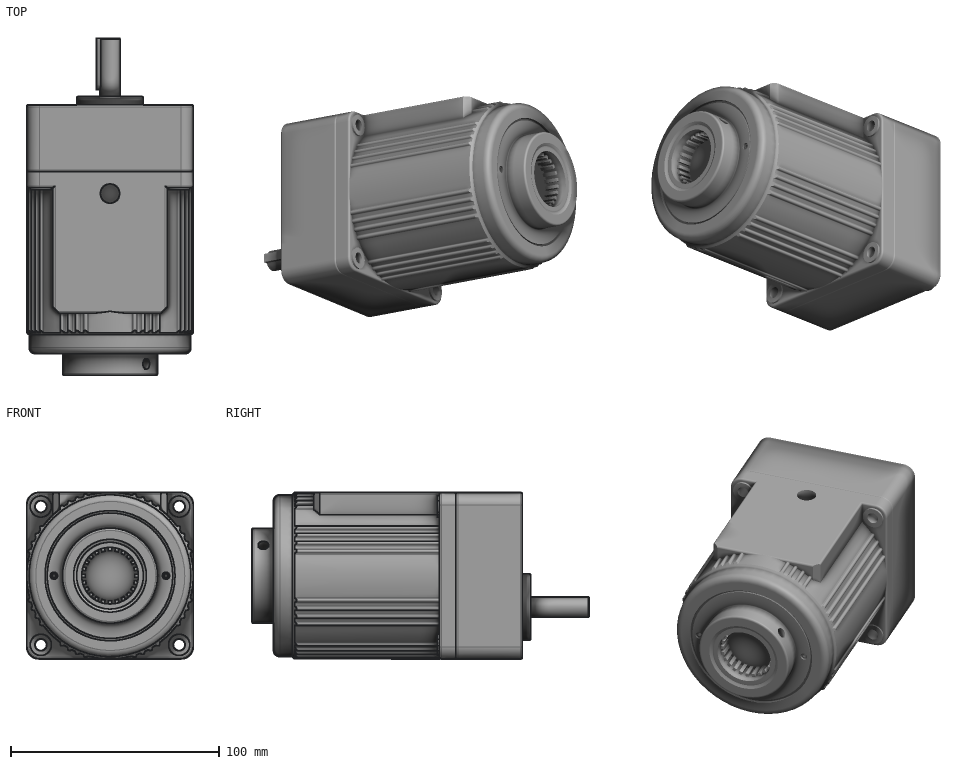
import cadquery as cq
import math


frame_size = 80.0
frame_corner_radius = 6.0
edge_fillet = 1.0
bolt_offset = 33.2
bolt_hole_diameter = 5.5

gearhead_length = 32.0
pilot_diameter = 32.0
pilot_height = 4.0
shaft_drop = 15.0
shaft_diameter = 9.9
shaft_length = 32.0
shaft_chamfer = 0.5
shaft_end = gearhead_length + shaft_length

key_width = 4.0
key_height = 4.0
key_length = 25.0
key_protrusion = 1.6

flange_length = 7.8
bolt_pad_diameter = 10.2
bolt_pad_height = 1.0
body_radius = frame_size / 2
body_length = 78.4
rib_radius = 1.0
rib_root_fillet = 0.5
rib_first_angle = 17
rib_pitch_angle = 6
ribs_per_group = 4
cover_radius = 38.9
cover_length = 9.0
cover_fillet = 3.0
cover_end = body_length + cover_length

block_width = 54.8
block_end = 68
block_corner_chamfer = 2.9
cable_hole_diameter = 9.2
cable_hole_depth = 9.7
cable_hole_distance = 10.5

recess_radius = 31.3
recess_depth = 1.5
recess_floor = recess_depth - cover_end

disc_radius = 30.1
disc_thickness = 1.0
hub_radius = 22.8
hub_protrusion = 10.4
hub_foot_fillet = 0.5
hub_rear = -cover_end - hub_protrusion
screw_hole_offset = 26.9
screw_hole_diameter = 3.4
screw_thread_diameter = 2.0
screw_thread_depth = 2.9
mouth_radius = 17.5
mouth_depth = 0.8
mouth_inner_radius = 16.0
spline_outer_radius = 13.6
spline_inner_radius = 12.0
spline_teeth = 24
spline_tooth_width = 1.6
spline_setback = 3.9
set_screw_diameter = 5.0
set_screw_angle = 40
set_screw_inset = 5.5


def bar_along_y(sketch, y_start, y_end):
    """Bar whose XZ outline is drawn by the sketch function, from y_start down to y_end."""
    return sketch(cq.Workplane("XZ", origin=(0, y_start, 0))).extrude(y_start - y_end)


def cylinder(radius, y_start, y_end, x=0, z=0):
    return bar_along_y(lambda plane: plane.center(x, z).circle(radius), y_start, y_end)


def frame_block(y_start, y_end):
    """Square block with rounded corners, centred on the motor axis."""
    block = bar_along_y(lambda plane: plane.rect(frame_size, frame_size), y_start, y_end)
    return block.edges("|Y").fillet(frame_corner_radius)


def at_bolts(radius, y_start, y_end):
    """Four cylinders on the bolt pattern."""
    span = 2 * bolt_offset
    return bar_along_y(lambda plane: plane.rect(span, span, forConstruction=True).vertices().circle(radius),
                       y_start, y_end)


def make_key():
    """Key flush with the shaft end, with a rounded inner end, standing out of the -X side."""
    outer_x = -(shaft_diameter / 2 + key_protrusion)
    half_width = key_width / 2
    round_center = shaft_end - key_length + half_width
    return (
        cq.Workplane("YZ", origin=(outer_x, 0, -shaft_drop))
        .moveTo(shaft_end, half_width)
        .lineTo(round_center, half_width)
        .threePointArc((shaft_end - key_length, 0), (round_center, -half_width))
        .lineTo(shaft_end, -half_width)
        .close()
        .extrude(key_height)
    )


def make_gearhead(key):
    case = frame_block(gearhead_length, 0).faces("<Y or >Y").edges().fillet(edge_fillet)
    case = case.cut(at_bolts(bolt_hole_diameter / 2, gearhead_length, 0))
    pilot = cylinder(pilot_diameter / 2, gearhead_length + pilot_height, gearhead_length, z=-shaft_drop)
    pilot = pilot.faces(">Y").edges().fillet(edge_fillet)
    shaft = cylinder(shaft_diameter / 2, shaft_end, gearhead_length, z=-shaft_drop)
    shaft = shaft.faces(">Y").chamfer(shaft_chamfer)
    return case.union(pilot).union(shaft).cut(key)


def polar_point(radius, angle):
    return radius * math.cos(angle), radius * math.sin(angle)


def rib_angles():
    """Two mirrored groups of ribs in each quadrant, in order around the body, in radians."""
    rising = [rib_first_angle + index * rib_pitch_angle for index in range(ribs_per_group)]
    quadrant_angles = rising + [90 - angle for angle in reversed(rising)]
    return [math.radians(90 * quadrant + angle) for quadrant in range(4) for angle in quadrant_angles]


def ribbed_outline(plane):
    """Circle carrying half-round ribs, each blended into it by a root fillet on both sides."""
    fillet_distance = body_radius + rib_root_fillet
    rib_to_fillet = rib_radius + rib_root_fillet
    cosine = (body_radius**2 + fillet_distance**2 - rib_to_fillet**2) / (2 * body_radius * fillet_distance)
    root_angle = math.acos(cosine)

    def root_points(angle, side):
        """Body end, middle and rib end of one root fillet; side is -1 before the rib, +1 after it."""
        direction = angle + side * root_angle
        rib_x, rib_z = polar_point(body_radius, angle)
        center_x, center_z = polar_point(fillet_distance, direction)
        body_end = polar_point(body_radius, direction)
        share = rib_radius / rib_to_fillet
        rib_end = (rib_x + (center_x - rib_x) * share, rib_z + (center_z - rib_z) * share)
        toward_x = (body_end[0] + rib_end[0]) / 2 - center_x
        toward_z = (body_end[1] + rib_end[1]) / 2 - center_z
        scale = rib_root_fillet / math.hypot(toward_x, toward_z)
        middle = (center_x + toward_x * scale, center_z + toward_z * scale)
        return body_end, middle, rib_end

    angles = rib_angles()
    start = root_points(angles[0], -1)[0]
    outline = plane.moveTo(*start)
    for angle, next_angle in zip(angles, angles[1:] + [angles[0] + 2 * math.pi]):
        _, near_middle, near_rib_end = root_points(angle, -1)
        body_end, far_middle, far_rib_end = root_points(angle, 1)
        next_body_end = root_points(next_angle, -1)[0]
        outline = outline.threePointArc(near_middle, near_rib_end)
        outline = outline.threePointArc(polar_point(body_radius + rib_radius, angle), far_rib_end)
        outline = outline.threePointArc(far_middle, body_end)
        outline = outline.threePointArc(polar_point(body_radius, (angle + next_angle) / 2), next_body_end)
    return outline.close()


def ribbed_body():
    """Round motor body with cooling ribs and a rear end bevelled at 45 degrees down to the cover."""
    body = bar_along_y(ribbed_outline, -flange_length, -body_length)
    bevel_start_radius = cover_radius + body_length - flange_length
    bevel = (
        cq.Workplane("XY")
        .moveTo(0, -flange_length)
        .lineTo(bevel_start_radius, -flange_length)
        .lineTo(cover_radius, -body_length)
        .lineTo(0, -body_length)
        .close()
        .revolve(360, (0, 0, 0), (0, 1, 0))
    )
    return body.intersect(bevel)


def terminal_block():
    """Flat-topped block, flush with the flange, with rounded top edges and bevelled rear corners."""
    height = frame_size / 2
    block = cq.Workplane("XY").center(0, -block_end / 2).rect(block_width, block_end).extrude(height)
    block = block.faces(">Z").edges("not >Y").fillet(edge_fillet)
    bevelled = (
        cq.Workplane("XY")
        .center(0, -block_end / 2)
        .rect(block_width, block_end)
        .extrude(height)
        .edges("|Z and <Y")
        .chamfer(block_corner_chamfer)
    )
    return block.intersect(bevelled)


def at_hub_screws(diameter, y_start, y_end):
    """Two cylinders on the hub screw positions."""
    positions = [(-screw_hole_offset, 0), (screw_hole_offset, 0)]
    return bar_along_y(lambda plane: plane.pushPoints(positions).circle(diameter / 2), y_start, y_end)


def make_motor():
    flange = frame_block(0, -flange_length).faces("<Y").edges().fillet(edge_fillet)
    bolt_pads = at_bolts(bolt_pad_diameter / 2, 0, -flange_length - bolt_pad_height)
    cover = cylinder(cover_radius, -body_length, -cover_end).faces("<Y").edges().fillet(cover_fillet)
    motor = flange.union(bolt_pads).union(ribbed_body()).union(terminal_block()).union(cover)

    bolt_holes = at_bolts(bolt_hole_diameter / 2, 0, -flange_length - bolt_pad_height)
    cable_hole = (
        cq.Workplane("XY", origin=(0, -cable_hole_distance, frame_size / 2))
        .circle(cable_hole_diameter / 2)
        .extrude(-cable_hole_depth)
    )
    hub_recess = cylinder(recess_radius, recess_floor, -cover_end)
    screw_threads = at_hub_screws(screw_thread_diameter, recess_floor + screw_thread_depth, recess_floor)
    return motor.cut(bolt_holes).cut(cable_hole).cut(hub_recess).cut(screw_threads)


def make_hub():
    """Hub on a disc seated in the cover recess, with an internal spline and a radial set-screw hole."""
    disc_face = recess_floor - disc_thickness
    disc = cylinder(disc_radius, recess_floor, disc_face)
    barrel = cylinder(hub_radius, disc_face, hub_rear).faces("<Y").edges().fillet(edge_fillet)
    foot = (
        cq.Workplane("XY")
        .moveTo(0, disc_face)
        .lineTo(hub_radius + hub_foot_fillet, disc_face)
        .radiusArc((hub_radius, disc_face - hub_foot_fillet), -hub_foot_fillet)
        .lineTo(0, disc_face - hub_foot_fillet)
        .close()
        .revolve(360, (0, 0, 0), (0, 1, 0))
    )
    hub = disc.union(barrel).union(foot)
    hub = hub.cut(at_hub_screws(screw_hole_diameter, recess_floor, disc_face))

    mouth = (
        cq.Workplane("XY")
        .moveTo(0, hub_rear)
        .lineTo(mouth_radius, hub_rear)
        .lineTo(mouth_inner_radius, hub_rear + mouth_depth)
        .lineTo(0, hub_rear + mouth_depth)
        .close()
        .revolve(360, (0, 0, 0), (0, 1, 0))
    )
    bore = cylinder(spline_outer_radius, recess_floor, hub_rear)
    hub = hub.cut(mouth).cut(bore)

    tooth_root = (spline_outer_radius + mouth_inner_radius) / 2
    tooth_height = tooth_root - spline_inner_radius
    tooth_middle = spline_inner_radius + tooth_height / 2
    tooth = bar_along_y(lambda plane: plane.center(tooth_middle, 0).rect(tooth_height, spline_tooth_width),
                        recess_floor, hub_rear + mouth_depth + spline_setback)
    for index in range(spline_teeth):
        hub = hub.union(tooth.rotate((0, 0, 0), (0, 1, 0), index * 360 / spline_teeth))

    set_screw_hole = (
        cq.Workplane("YZ", origin=(tooth_root, hub_rear + set_screw_inset, 0))
        .circle(set_screw_diameter / 2)
        .extrude(hub_radius)
        .rotate((0, 0, 0), (0, 1, 0), -set_screw_angle)
    )
    return hub.cut(set_screw_hole)


key = make_key()
gearhead = make_gearhead(key)
motor = make_motor()
hub = make_hub()

result = cq.Compound.makeCompound([gearhead.val(), key.val(), motor.val(), hub.val()])